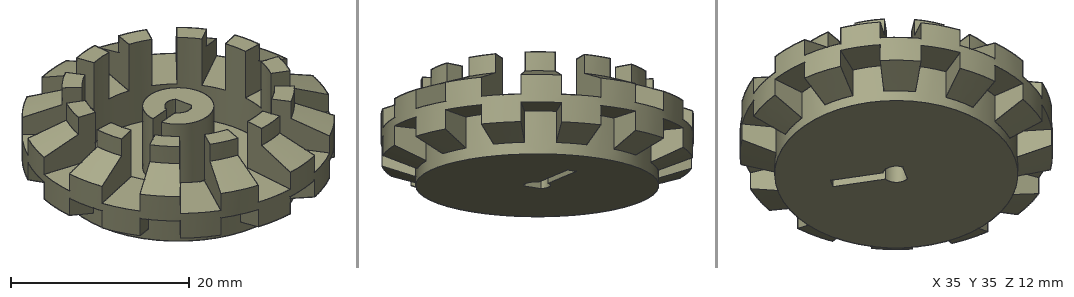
import cadquery as cq
import math

outer_radius = 17.5
base_radius = 27.2 / 2
pocket_radius = 21.6 / 2
pocket_floor = 1.5
total_height = 12.0

tooth_count = 12
tooth_pitch = 360 / tooth_count
tooth_angle = tooth_pitch / 2
band_bottom = 4.95
band_top = 5.95

post_radius = 13.0
shoulder_inner_height = 9.8
shoulder_outer_height = 8.15

bevel_inner_height = 1.35
bevel_outer_height = 2.73

gap_inner_radius = 0.8 * pocket_radius
gap_outer_radius = 1.1 * outer_radius

hub_radius = 4.0
hub_top = 9.5
bore_radius = 1.5
bore_flat = 1.0
slot_width = 1.2
slot_reach = 7.4


def make_rim():
    """Solid disc with the upper and lower teeth still joined into full rings."""
    outline = [
        (0, bevel_inner_height),
        (base_radius, bevel_inner_height),
        (outer_radius, bevel_outer_height),
        (outer_radius, shoulder_outer_height),
        (post_radius, shoulder_inner_height),
        (post_radius, total_height),
        (0, total_height),
    ]
    return cq.Workplane("XZ").polyline(outline).close().revolve(360, (0, 0), (0, 1))


def cut_gaps(body, bottom, top, first_angle):
    """Cut a ring of wedge gaps between teeth, the first centred at first_angle."""
    spread = math.tan(math.radians(tooth_angle / 2))
    inner = gap_inner_radius * spread
    outer = gap_outer_radius * spread
    gap = (
        cq.Workplane("XY", origin=(0, 0, bottom))
        .polyline([
            (gap_inner_radius, -inner),
            (gap_outer_radius, -outer),
            (gap_outer_radius, outer),
            (gap_inner_radius, inner),
        ])
        .close()
        .extrude(top - bottom)
    )
    for index in range(tooth_count):
        angle = first_angle + index * tooth_pitch
        body = body.cut(gap.rotate((0, 0, 0), (0, 0, 1), angle))
    return body


def make_cylinder(radius, bottom, top):
    return cq.Workplane("XY", origin=(0, 0, bottom)).circle(radius).extrude(top - bottom)


def make_bore():
    """Round bore with its +Y side cut flat."""
    bore = make_cylinder(bore_radius, 0, hub_top)
    bore_size = 2 * bore_radius
    kept_side = (
        cq.Workplane("XY")
        .center(0, bore_flat - bore_radius)
        .rect(bore_size, bore_size)
        .extrude(hub_top)
    )
    return bore.intersect(kept_side)


def make_slot():
    """Radial slot from the bore axis towards -Y, through hub and floor."""
    return cq.Workplane("XY").center(0, -slot_reach / 2).rect(slot_width, slot_reach).extrude(hub_top)


result = cut_gaps(make_rim(), band_top, total_height, tooth_angle)
result = cut_gaps(result, 0, band_bottom, 0)
result = result.union(make_cylinder(base_radius, 0, band_bottom))
result = result.cut(make_cylinder(pocket_radius, pocket_floor, total_height))
result = result.union(make_cylinder(hub_radius, 0, hub_top))
result = result.cut(make_bore()).cut(make_slot())